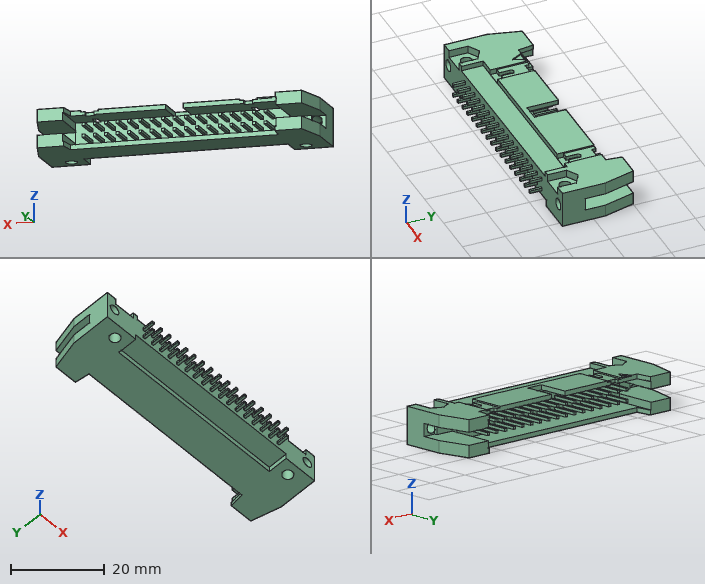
import cadquery as cq
import math


length = 62.8
height = 8.5
half_length = length / 2
half_height = height / 2
shroud_y = 13.75

overlap = 0.6

wing_tip_y = 17.4
wing_shoulder_y = 10.05
wing_tip_outer_x = 29.5
wing_tip_inner_x = 23.6
wing_root_x = 23.2

wall = 1.05
cavity_half_x = 23.85
cavity_floor_y = 7.55
latch_slot_height = 2.9
latch_slot_floor_y = 6.1
latch_slot_end_floor_y = 5.35
latch_slot_step_x = 28.3

ledge_y = 5.1
top_ledge_half_x = 22.2
top_ledge_depth = 1.1
bottom_ledge_half_x = 22.8
bottom_ledge_depth = 1.5

hole_diameter = 2.6
mount_hole_x = 26.2
mount_hole_y = 2.9
nut_width = 5.3
nut_depth = 1.7
axial_hole_x = 29.2
axial_hole_z = 0.2

key_width = 3.95
key_floor_y = 6.4
key_depth = 1.1

channel_centers_x = (-16.5, 18.95)
channel_width = 3.95
channel_depth = 0.3
channel_step_y = 6.6
channel_step_depth = 1.2
window_width = 2.0
window_depth_y = 0.95
relief_width = 1.25
relief_end_y = 9.75

mark_x = -20.35
mark_width = 2.6
mark_base_y = 13.55
mark_tip_y = 11.1
mark_depth = 0.25

pins_per_row = 17
pin_span = 40.65
pin_pitch = pin_span / (pins_per_row - 1)
pin_size = 0.6
pin_tail = 2.8
pin_tip_y = 13.6


def block(x_min, x_max, y_min, y_max, z_min, z_max):
    """Axis-aligned box given by its limits."""
    return cq.Workplane("XY").box(
        x_max - x_min, y_max - y_min, z_max - z_min, centered=False
    ).translate((x_min, y_min, z_min))


def sunk_from_top(center_x, width, y_min, y_max, depth):
    """Cutting box centred on center_x that sinks into the top face by depth."""
    half_width = width / 2
    return block(center_x - half_width, center_x + half_width, y_min, y_max,
                 half_height - depth, half_height + overlap)


def make_housing():
    right_side = [
        (half_length, 0),
        (half_length, wing_shoulder_y),
        (wing_tip_outer_x, wing_tip_y),
        (wing_tip_inner_x, wing_tip_y),
        (wing_root_x, shroud_y),
    ]
    left_side = [(-x, y) for x, y in reversed(right_side)]
    outline = cq.Workplane("XY").polyline(right_side + left_side).close()
    return outline.extrude(half_height, both=True)


def make_cavity():
    half_cavity = half_height - wall
    half_slot = latch_slot_height / 2
    open_y = wing_tip_y + overlap
    end_x = half_length + overlap
    cavity = block(-cavity_half_x, cavity_half_x, cavity_floor_y, open_y, -half_cavity, half_cavity)
    slot_steps = (
        (cavity_half_x, latch_slot_floor_y),
        (latch_slot_step_x, latch_slot_end_floor_y),
    )
    for inner_x, floor_y in slot_steps:
        for x_min, x_max in ((-end_x, -inner_x), (inner_x, end_x)):
            cavity = cavity.union(block(x_min, x_max, floor_y, open_y, -half_slot, half_slot))
    return cavity


def make_ledges():
    top = sunk_from_top(0, 2 * top_ledge_half_x, -overlap, ledge_y, top_ledge_depth)
    bottom = block(-bottom_ledge_half_x, bottom_ledge_half_x, -overlap, ledge_y,
                   -half_height - overlap, -half_height + bottom_ledge_depth)
    return top.union(bottom)


def make_mounting_cut(side):
    """Nut pocket, its cross hole and the axial hole at one end; side is -1 or 1."""
    x = side * mount_hole_x
    nut_diameter = nut_width / math.cos(math.radians(30))
    pocket_floor = cq.Workplane("XY", origin=(x, mount_hole_y, half_height - nut_depth))
    nut = pocket_floor.transformed(rotate=(0, 0, 90)).polygon(6, nut_diameter).extrude(nut_depth + overlap)
    nut_entry = sunk_from_top(x, nut_width, -overlap, mount_hole_y, nut_depth)
    cross_hole = (
        cq.Workplane("XY", origin=(x, mount_hole_y, 0))
        .circle(hole_diameter / 2)
        .extrude(height, both=True)
    )
    axial_hole = (
        cq.Workplane("XZ", origin=(side * axial_hole_x, 0, axial_hole_z))
        .circle(hole_diameter / 2)
        .extrude(-latch_slot_end_floor_y)
    )
    return nut.union(nut_entry).union(cross_hole).union(axial_hole)


def make_channel_cut(x):
    """Channel across the top wall with its step, edge window and round-ended relief slot."""
    open_y = shroud_y + overlap
    channel = sunk_from_top(x, channel_width, ledge_y, open_y, channel_depth)
    step = sunk_from_top(x, channel_width, ledge_y, channel_step_y, channel_step_depth)
    window = sunk_from_top(x, window_width, shroud_y - window_depth_y, open_y, channel_step_depth)
    relief_radius = relief_width / 2
    arc_center_y = relief_end_y - relief_radius
    relief = sunk_from_top(x, relief_width, channel_step_y, arc_center_y, channel_step_depth)
    relief_end = (
        cq.Workplane("XY", origin=(x, arc_center_y, half_height - channel_step_depth))
        .circle(relief_radius)
        .extrude(channel_step_depth + overlap)
    )
    return channel.union(step).union(window).union(relief).union(relief_end)


def make_pin_one_mark():
    half_mark = mark_width / 2
    triangle = [
        (mark_x - half_mark, mark_base_y),
        (mark_x + half_mark, mark_base_y),
        (mark_x, mark_tip_y),
    ]
    mark_floor = cq.Workplane("XY", origin=(0, 0, half_height - mark_depth))
    return mark_floor.polyline(triangle).close().extrude(mark_depth + overlap)


def make_pins():
    pin_length = pin_tail + pin_tip_y
    pin_grid = cq.Workplane("XZ", origin=(0, -pin_tail, 0)).rarray(pin_pitch, pin_pitch, pins_per_row, 2)
    return pin_grid.rect(pin_size, pin_size).extrude(-pin_length)


key_notch = sunk_from_top(0, key_width, key_floor_y, shroud_y + overlap, key_depth)

body = make_housing().cut(make_cavity()).cut(make_ledges())
body = body.cut(key_notch)
for side in (-1, 1):
    body = body.cut(make_mounting_cut(side))
for channel_x in channel_centers_x:
    body = body.cut(make_channel_cut(channel_x))
body = body.cut(make_pin_one_mark())

result = body.union(make_pins())